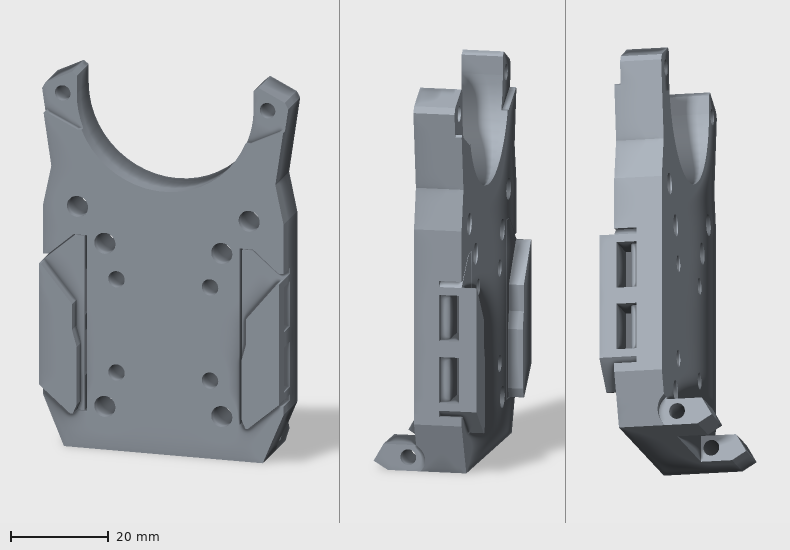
import cadquery as cq
import math

plate_thickness = 10.0
plate_height = 80.06
side_x = 25.7
bottom_x = 21.25
bottom_chamfer_z = 10.7
side_top_z = 51.55
waist_x = 23.95
waist_z = 59.9
arm_x = 26.32
arm_z = 76.0
shoulder_x = 25.6
shoulder_z = 77.3
tip_x = 19.9
tip_chamfer_z = 79.2

opening_radius = 18.9
opening_z = 75.3

step_depth = 1.35
step_side_z = 71.1
step_peak = (25.15, 71.6)
step_bend = (24.5, 71.1)
step_inner = (18.4, 68.2)

small_hole_diameter = 3.5
large_hole_diameter = 4.5
pivot_hole_diameter = 3.3
arm_hole_x = 21.9
upper_hole_x = 18.35
upper_hole_z = 51.65
pattern_z = 26.75
small_pattern_half = 10.0
large_pattern_half_x = 12.5
large_pattern_half_z = 17.5

overall_depth = 22.64
pad_protrusion = 3.14
tab_reach = overall_depth - plate_thickness - pad_protrusion
tab_width = 10.0
tab_height = 5.45
tab_tip_z = 1.8
tab_top_reach = 7.4
tab_bottom_reach = 6.5
tab_hole_reach = 2.2
tab_hole_z = 2.85
tab_relief_radius = 3.8

recess_depth = 4.7
recess_inner_x = 16.3
recess_half = 18.9
recess_corner_x = 19.2
recess_ledge_x = 24.6
recess_side_half = 14.22

pad_inner_x = 16.85
pad_half = 18.65
pad_corner_x = 19.0
pad_side_half = 12.95
grip_top_x = 25.25
grip_upper = (18.6, 31.6)
grip_bend = (18.6, 26.1)
grip_lower = (17.6, 22.5)
grip_chamfer = (17.6, 10.1)
grip_bottom_x = 18.45

slot_height = 9.6
slot_pitch = 13.0
slot_depth = 4.2
bar_inset = 1.8
bar_thickness = 1.75
bar_radius = 1.0


def extrude_along_y(outline, front, back):
    """Extrude a closed X-Z outline between two Y positions."""
    return outline.close().extrude(front - back).translate((0, front, 0))


def polygon(points):
    return cq.Workplane("XZ").polyline(points)


def mirrored_pair(body):
    return [body, body.mirror("YZ")]


def cross_hole(x, z, diameter):
    """Cutter for a hole through the plate along Y."""
    return cq.Workplane("XZ").center(x, z).circle(diameter / 2).extrude(-plate_thickness)


def plate_blank():
    right_side = [
        (bottom_x, 0),
        (side_x, bottom_chamfer_z),
        (side_x, side_top_z),
        (waist_x, waist_z),
        (arm_x, arm_z),
        (shoulder_x, shoulder_z),
        (tip_x, plate_height),
        (opening_radius, tip_chamfer_z),
        (opening_radius, opening_z),
    ]
    left_side = [(-x, z) for x, z in reversed(right_side)]
    outline = (
        polygon(right_side)
        .threePointArc((0, opening_z - opening_radius), left_side[0])
    )
    for point in left_side[1:]:
        outline = outline.lineTo(*point)
    return extrude_along_y(outline, 0, plate_thickness)


def arm_step():
    """Cutter over the front of the right arm, above the step line."""
    outside_x = arm_x + 1
    above_z = plate_height + 1
    outline = polygon([
        (0, step_inner[1]),
        step_inner,
        step_bend,
        step_peak,
        (side_x, step_side_z),
        (outside_x, step_side_z),
        (outside_x, above_z),
        (0, above_z),
    ])
    return extrude_along_y(outline, 0, step_depth)


def pad_recess():
    """Cutter for the right recess, open at the side of the plate."""
    upper_edge = [
        (recess_inner_x, recess_half),
        (recess_corner_x, recess_half),
        (recess_ledge_x, recess_side_half),
        (side_x, recess_side_half),
    ]
    lower_edge = [(x, -z) for x, z in reversed(upper_edge)]
    outline = polygon([(x, pattern_z + z) for x, z in upper_edge + lower_edge])
    return extrude_along_y(outline, 0, recess_depth)


def hinge_cylinder(radius, start_x, end_x):
    """Cylinder on the hinge axis between two X positions."""
    hinge_y = plate_thickness + tab_hole_reach
    return (
        cq.Workplane("YZ", origin=(start_x, 0, 0))
        .center(hinge_y, tab_hole_z)
        .circle(radius)
        .extrude(end_x - start_x)
    )


def hinge_tab():
    """Right hinge tab, flush with the end of the plate's bottom edge."""
    back = plate_thickness
    return (
        cq.Workplane("YZ", origin=(bottom_x - tab_width, 0, 0))
        .polyline([
            (back, 0),
            (back + tab_bottom_reach, 0),
            (back + tab_reach, tab_tip_z),
            (back + tab_top_reach, tab_height),
            (back, tab_height),
        ])
        .close()
        .extrude(tab_width)
    )


def build_plate():
    plate = plate_blank()
    tab_relief = hinge_cylinder(tab_relief_radius, bottom_x, side_x)
    for cutter in (arm_step(), pad_recess(), tab_relief):
        for side in mirrored_pair(cutter):
            plate = plate.cut(side)
    for tab in mirrored_pair(hinge_tab()):
        plate = plate.union(tab)
    plate = plate.cut(hinge_cylinder(pivot_hole_diameter / 2, -side_x, side_x))

    for side in (-1, 1):
        plate = plate.cut(cross_hole(side * arm_hole_x, opening_z, pivot_hole_diameter))
        plate = plate.cut(cross_hole(side * upper_hole_x, upper_hole_z, large_hole_diameter))
        for level in (-1, 1):
            small_z = pattern_z + level * small_pattern_half
            large_z = pattern_z + level * large_pattern_half_z
            plate = plate.cut(cross_hole(side * small_pattern_half, small_z, small_hole_diameter))
            plate = plate.cut(cross_hole(side * large_pattern_half_x, large_z, large_hole_diameter))
    return plate


def strap_slot(center_z):
    """Cutter that enters the pad's side and passes in front of a rounded bar."""
    bar_x = side_x - bar_inset
    bar_front = recess_depth - bar_thickness
    slot_front = recess_depth - slot_depth
    arc_offset = bar_radius * (1 - math.sqrt(0.5))
    return (
        cq.Workplane("XY", origin=(0, 0, center_z - slot_height / 2))
        .moveTo(side_x, recess_depth)
        .lineTo(side_x, slot_front)
        .lineTo(pad_inner_x, slot_front)
        .lineTo(pad_inner_x, bar_front)
        .lineTo(bar_x - bar_radius, bar_front)
        .threePointArc((bar_x - arc_offset, bar_front + arc_offset), (bar_x, bar_front + bar_radius))
        .lineTo(bar_x, recess_depth)
        .close()
        .extrude(slot_height)
    )


def build_pad():
    """Right pad: a base in the recess and a grip standing out of the plate."""
    pad_top = pattern_z + pad_half
    pad_bottom = pattern_z - pad_half
    side_top = pattern_z + pad_side_half
    side_bottom = pattern_z - pad_side_half
    base = extrude_along_y(
        polygon([
            (pad_inner_x, pad_top),
            (pad_corner_x, pad_top),
            (side_x, side_top),
            (side_x, side_bottom),
            (pad_corner_x, pad_bottom),
            (pad_inner_x, pad_bottom),
        ]),
        0,
        recess_depth,
    )
    grip = extrude_along_y(
        polygon([
            (side_x, side_top),
            (grip_top_x, side_top),
            grip_upper,
            grip_bend,
            grip_lower,
            grip_chamfer,
            (grip_bottom_x, pad_bottom),
            (pad_corner_x, pad_bottom),
            (side_x, side_bottom),
        ]),
        -pad_protrusion,
        0,
    )
    pad = base.union(grip)
    for level in (-1, 1):
        pad = pad.cut(strap_slot(pattern_z + level * slot_pitch / 2))
    return pad


plate = build_plate()
pads = mirrored_pair(build_pad())

result = cq.Compound.makeCompound([plate.val(), *[pad.val() for pad in pads]])